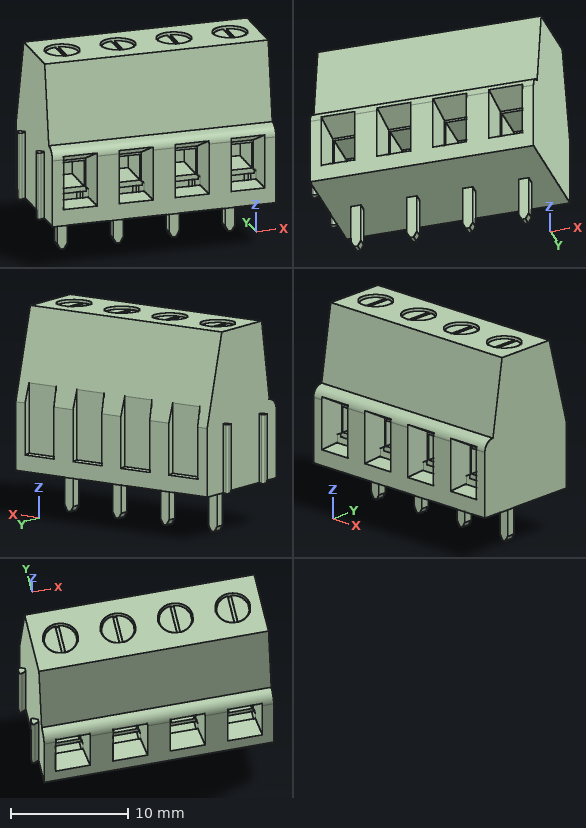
import cadquery as cq
import math


poles = 4
overall_length = 20.6
rib_reach = 0.6
body_length = overall_length - rib_reach
pitch = body_length / poles
body_depth = 10.2
body_height = 14.0
shoulder_height = 6.0
slope_run = 2.15
nose_radius = 1.0

rib_tip_flat = 0.33
rib_flare_angle = 25.0
rib_tip_radius = 0.155
rib_centres_y = (2.43, body_depth - 2.47)

entry_width = 3.0
entry_bottom = 1.46
entry_height = 4.8
entry_depth = 2.05
entry_back_width = 2.25
entry_back_bottom = 1.85
entry_back_top = 5.15

window_width = 1.98
window_bottom = 2.62
window_top = 4.95
window_depth = 3.3
step_width = 2.4
step_top = 2.5
step_start = 1.57
clamp_bottom = 2.15
under_clamp_floor = 0.62
under_clamp_depth = 1.03
tail_slot_depth = 1.03

recess_width = entry_width
recess_depth = 0.45
recess_inset = 0.093
recess_bottom = entry_bottom

screw_bore_radius = 1.5
screw_head_radius = 1.4
screw_bore_depth = 0.52
screw_head_drop = 0.23
screw_slot_width = 0.29
screw_slot_depth = 0.16

pin_width = 0.9
pin_thickness = 0.82
pin_length = 4.0
pin_tip_width = 0.33
pin_tip_length = 0.5
pin_centre_y = 5.44
pin_embed = 0.2


def make_housing():
    """Side profile in YZ, extruded along the row of poles."""
    nose_mid = nose_radius * math.sqrt(0.5)
    profile = (
        cq.Workplane("YZ")
        .moveTo(0, 0)
        .lineTo(0, shoulder_height)
        .threePointArc(
            (nose_radius - nose_mid, shoulder_height + nose_mid),
            (nose_radius, shoulder_height + nose_radius),
        )
        .lineTo(slope_run, body_height)
        .lineTo(body_depth - slope_run, body_height)
        .lineTo(body_depth, shoulder_height)
        .lineTo(body_depth, 0)
        .close()
    )
    return profile.extrude(body_length)


def make_rib(centre_y):
    """Upright dovetail rib with rounded tip corners."""
    flare = math.radians(rib_flare_angle)
    corner_setback = rib_tip_radius / math.tan((math.pi / 2 - flare) / 2)
    tip_half = rib_tip_flat / 2 + corner_setback
    neck_half = tip_half - rib_reach * math.tan(flare)
    rib = (
        cq.Workplane("XY")
        .polyline([
            (-rib_reach, centre_y - tip_half),
            (0, centre_y - neck_half),
            (0, centre_y + neck_half),
            (-rib_reach, centre_y + tip_half),
        ])
        .close()
        .extrude(shoulder_height)
    )
    return rib.edges("|Z and <X").fillet(rib_tip_radius)


def block(centre_x, width, y_start, y_end, z_bottom, z_top):
    """Rectangular block centred on one pole."""
    return (
        cq.Workplane("XY")
        .box(width, y_end - y_start, z_top - z_bottom, centered=(True, False, False))
        .translate((centre_x, y_start, z_bottom))
    )


def tapered_block(centre_x, y_start, start_size, y_end, end_size):
    """Block tapering along Y; each size is (width, z_bottom, z_top)."""
    start_width, start_bottom, start_top = start_size
    end_width, end_bottom, end_top = end_size
    start_centre_z = (start_bottom + start_top) / 2
    end_centre_z = (end_bottom + end_top) / 2
    return (
        cq.Workplane("XZ", origin=(centre_x, y_start, start_centre_z))
        .rect(start_width, start_top - start_bottom)
        .workplane(offset=y_start - y_end)
        .center(0, end_centre_z - start_centre_z)
        .rect(end_width, end_top - end_bottom)
        .loft(ruled=True)
    )


def make_wire_entry(centre_x):
    """Funnel to the clamp face, the clamp window and the stepped space below it."""
    funnel = tapered_block(
        centre_x,
        0, (entry_width, entry_bottom, entry_bottom + entry_height),
        entry_depth, (entry_back_width, entry_back_bottom, entry_back_top),
    )
    window = block(
        centre_x, window_width, entry_depth, entry_depth + window_depth, window_bottom, window_top
    )
    step = block(centre_x, step_width, step_start, entry_depth, under_clamp_floor, step_top)
    under_clamp_end = entry_depth + under_clamp_depth
    under_clamp = block(
        centre_x, step_width, entry_depth, under_clamp_end, under_clamp_floor, clamp_bottom
    )
    tail_slot_end = under_clamp_end + tail_slot_depth
    tail_slot = block(
        centre_x, window_width, under_clamp_end, tail_slot_end, under_clamp_floor, clamp_bottom
    )
    return funnel.union(window).union(step).union(under_clamp).union(tail_slot)


def make_back_recess(centre_x):
    """Shallow drafted recess that runs out through the back slope."""
    return tapered_block(
        centre_x,
        body_depth, (recess_width, recess_bottom, body_height),
        body_depth - recess_depth,
        (recess_width - 2 * recess_inset, recess_bottom + recess_inset, body_height),
    )


def make_screw_cut(centre_x):
    """Bore in the top, less the slotted screw head standing in it."""
    centre = (centre_x, body_depth / 2, body_height - screw_bore_depth)
    head_height = screw_bore_depth - screw_head_drop
    bore = cq.Workplane("XY", origin=centre).circle(screw_bore_radius).extrude(screw_bore_depth)
    head = cq.Workplane("XY", origin=centre).circle(screw_head_radius).extrude(head_height)
    slot = (
        cq.Workplane("XY", origin=centre)
        .workplane(offset=head_height - screw_slot_depth)
        .rect(screw_slot_width, 2 * screw_head_radius)
        .extrude(screw_slot_depth)
    )
    return bore.cut(head.cut(slot))


def make_pin(centre_x):
    """Flat solder pin with a tip that narrows in width."""
    half = pin_width / 2
    tip_half = pin_tip_width / 2
    shank_end = pin_tip_length - pin_length
    return (
        cq.Workplane("XZ", origin=(centre_x, pin_centre_y, 0))
        .polyline([
            (-half, pin_embed),
            (-half, shank_end),
            (-tip_half, -pin_length),
            (tip_half, -pin_length),
            (half, shank_end),
            (half, pin_embed),
        ])
        .close()
        .extrude(pin_thickness / 2, both=True)
    )


result = make_housing()
for rib_y in rib_centres_y:
    result = result.union(make_rib(rib_y))
for pole in range(poles):
    pole_x = (pole + 0.5) * pitch
    result = result.cut(make_wire_entry(pole_x))
    result = result.cut(make_back_recess(pole_x))
    result = result.cut(make_screw_cut(pole_x))
    result = result.union(make_pin(pole_x))